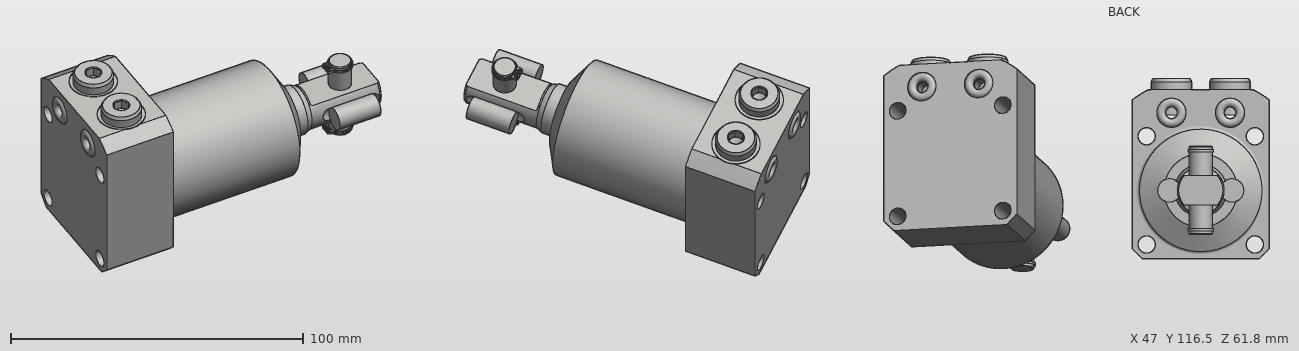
import cadquery as cq
import math


block_width = 47.0
block_depth = 26.0
block_bottom = -block_width / 2
block_top = 34.5
block_turned_radius = 38.9
block_chamfer = 3.5
bolt_spacing = 37.0
bolt_radius = 2.9

barrel_radius = 21.0
barrel_root_fillet = 1.0
barrel_shoulder_y = 76.7
barrel_nose_y = 81.5
barrel_nose_radius = 12.6

stem_radius = 9.0
stem_chamfer_start_y = 86.3
stem_chamfer_end_y = 88.4
rod_radius = 8.0
rod_tip_y = 115.7
rod_tip_chamfer_length = 0.8
rod_tip_chamfer_width = 0.5
flat_start_y = 89.0
flat_thickness = 10.1
flat_fillet = 0.7

pin_y = 103.7
pin_diameter = 8.0
pin_length = 30.3
pin_chamfer = 0.3

ring_thickness = 0.8
ring_center_z = 13.5
ring_radius = 4.4
ring_lug_reach = 5.8
ring_lug_half_width = 2.5
ring_lug_rounding = 0.9
ring_gap = 0.6
ring_eye_radius = 0.6
ring_eye_x = 1.3
ring_eye_reach = 4.9

roller_diameter = pin_diameter
roller_length = 16.0
roller_x = 10.7

port_x = 10.0
port_z = 26.6
port_radius = 2.0
oring_radius = 5.0
oring_protrusion = 0.8

plug_y = block_depth / 2
plug_radius = 7.0
plug_head_height = 3.8
plug_chamfer_height = 1.2
plug_chamfer_width = 0.6
plug_shank_radius = 5.0
plug_bottom = 25.7
spotface_radius = 8.3
spotface_depth = 0.3
socket_across_flats = 4.9
socket_entry_radius = 2.9
socket_entry_depth = 0.3
socket_depth = 3.5
socket_cone_depth = 1.5

overlap = 1.2
pin_radius = pin_diameter / 2
roller_radius = roller_diameter / 2
roller_start_y = pin_y - roller_length / 2
roller_end_y = pin_y + roller_length / 2
roller_xs = (-roller_x, roller_x)
port_xs = (-port_x, port_x)
bolt_offsets = (-bolt_spacing / 2, bolt_spacing / 2)
bolt_places = [(x, z) for x in bolt_offsets for z in bolt_offsets]
spotface_floor = block_top - spotface_depth
plug_top = block_top + plug_head_height
oring_wire_radius = (oring_radius - port_radius) / 2
oring_mean_radius = (oring_radius + port_radius) / 2
oring_inset = oring_wire_radius - oring_protrusion
oring_seat_depth = oring_wire_radius + oring_inset
oring_ys = (oring_inset, block_depth - oring_inset)


def cylinder_y(radius, start, end, x=0.0, z=0.0):
    """Cylinder along Y between two Y positions."""
    return cq.Workplane("XZ", origin=(x, start, z)).circle(radius).extrude(start - end)


def cylinder_z(radius, start, end, x=0.0, y=0.0):
    """Cylinder along Z between two heights."""
    return cq.Workplane("XY", origin=(x, y, start)).circle(radius).extrude(end - start)


def make_block():
    block = (
        cq.Workplane("XY", origin=(0, 0, block_bottom))
        .box(block_width, block_depth, block_top - block_bottom, centered=(True, False, False))
        .edges("|Y and <Z")
        .chamfer(block_chamfer)
        .intersect(cylinder_y(block_turned_radius, 0, block_depth))
    )
    for x, z in bolt_places:
        block = block.cut(cylinder_y(bolt_radius, 0, block_depth, x, z))
    return block


def make_barrel():
    fillet_inset = barrel_root_fillet * (1 - math.sqrt(0.5))
    return (
        cq.Workplane("XY")
        .moveTo(0, block_depth)
        .lineTo(barrel_radius + barrel_root_fillet, block_depth)
        .threePointArc(
            (barrel_radius + fillet_inset, block_depth + fillet_inset),
            (barrel_radius, block_depth + barrel_root_fillet),
        )
        .lineTo(barrel_radius, barrel_shoulder_y)
        .lineTo(barrel_nose_radius, barrel_nose_y)
        .lineTo(0, barrel_nose_y)
        .close()
        .revolve(360, (0, 0, 0), (0, 1, 0))
    )


def cut_ports(body):
    """Through ports with an O-ring seat on both faces, and a spotfaced bore for each plug."""
    seat_ranges = (
        (-overlap, oring_seat_depth),
        (block_depth - oring_seat_depth, block_depth + overlap),
    )
    for x in port_xs:
        body = body.cut(cylinder_y(port_radius, 0, block_depth, x, port_z))
        for start, end in seat_ranges:
            body = body.cut(cylinder_y(oring_radius, start, end, x, port_z))
        body = body.cut(cylinder_z(spotface_radius, spotface_floor, block_top, x, plug_y))
        body = body.cut(cylinder_z(plug_shank_radius, plug_bottom, block_top, x, plug_y))
    return body


def make_socket():
    """Hexagon socket with a conical entry and a conical bottom, at the plug top."""
    floor = plug_top - socket_depth
    corner_diameter = socket_across_flats / math.cos(math.pi / 6)
    hexagon = (
        cq.Workplane("XY", origin=(0, 0, floor))
        .transformed(rotate=(0, 0, 90))
        .polygon(6, corner_diameter)
        .extrude(socket_depth)
    )
    down = cq.Vector(0, 0, -1)
    entry = cq.Solid.makeCone(
        socket_entry_radius, socket_entry_radius - socket_entry_depth, socket_entry_depth,
        cq.Vector(0, 0, plug_top), down,
    )
    bottom = cq.Solid.makeCone(
        socket_across_flats / 2, 0, socket_cone_depth, cq.Vector(0, 0, floor), down,
    )
    return hexagon.union(entry).union(bottom)


def make_plug(x):
    plug = (
        cq.Workplane("XZ")
        .moveTo(0, plug_bottom)
        .lineTo(plug_shank_radius, plug_bottom)
        .lineTo(plug_shank_radius, spotface_floor)
        .lineTo(plug_radius, spotface_floor)
        .lineTo(plug_radius, plug_top - plug_chamfer_height)
        .lineTo(plug_radius - plug_chamfer_width, plug_top)
        .lineTo(0, plug_top)
        .close()
        .revolve(360, (0, 0, 0), (0, 1, 0))
        .cut(make_socket())
    )
    return plug.translate((x, plug_y, 0))


def make_flat_cut():
    """Material removed above the upper flat, with a fillet at its inner end."""
    return (
        cq.Workplane("XY", origin=(0, flat_start_y, flat_thickness / 2))
        .box(2 * rod_radius, rod_tip_y - flat_start_y, rod_radius, centered=(True, False, False))
        .edges("<Y and <Z")
        .fillet(flat_fillet)
    )


def make_roller(x):
    return cylinder_y(roller_radius, roller_start_y, roller_end_y, x)


def make_roller_seat(x):
    """Round-ended groove as long as the roller plus a ball at each end."""
    seat = make_roller(x)
    for y in (roller_start_y, roller_end_y):
        seat = seat.union(cq.Workplane("XY", origin=(x, y, 0)).sphere(roller_radius))
    return seat


def make_rod():
    rod = (
        cq.Workplane("XY")
        .moveTo(0, barrel_nose_y)
        .lineTo(stem_radius, barrel_nose_y)
        .lineTo(stem_radius, stem_chamfer_start_y)
        .lineTo(rod_radius, stem_chamfer_end_y)
        .lineTo(rod_radius, rod_tip_y - rod_tip_chamfer_length)
        .lineTo(rod_radius - rod_tip_chamfer_width, rod_tip_y)
        .lineTo(0, rod_tip_y)
        .close()
        .revolve(360, (0, 0, 0), (0, 1, 0))
    )
    upper_cut = make_flat_cut()
    rod = rod.cut(upper_cut).cut(upper_cut.mirror("XY"))
    for x in roller_xs:
        rod = rod.cut(make_roller_seat(x))
    return rod


def make_retaining_ring(z):
    """Retaining ring whose two eyed lugs point towards the barrel."""
    bottom = z - ring_thickness / 2
    top = z + ring_thickness / 2
    lugs = (
        cq.Workplane("XY", origin=(0, pin_y - ring_lug_reach / 2, bottom))
        .rect(2 * ring_lug_half_width, ring_lug_reach)
        .extrude(ring_thickness)
        .edges("|Z and <Y")
        .fillet(ring_lug_rounding)
    )
    gap = (
        cq.Workplane("XY", origin=(0, pin_y - ring_lug_reach / 2, bottom))
        .rect(ring_gap, ring_lug_reach)
        .extrude(ring_thickness)
    )
    ring = cylinder_z(ring_radius, bottom, top, 0, pin_y).union(lugs).cut(gap)
    for x in (-ring_eye_x, ring_eye_x):
        ring = ring.cut(cylinder_z(ring_eye_radius, bottom, top, x, pin_y - ring_eye_reach))
    return ring


def make_pin():
    pin = (
        cylinder_z(pin_radius, -pin_length / 2, pin_length / 2, 0, pin_y)
        .faces("<Z or >Z")
        .edges()
        .chamfer(pin_chamfer)
    )
    for z in (-ring_center_z, ring_center_z):
        pin = pin.union(make_retaining_ring(z))
    return pin


def make_cylinder_unit():
    """Block, barrel, plugs, rod and cross pin as one solid."""
    unit = cut_ports(make_block().union(make_barrel()))
    for x in port_xs:
        unit = unit.union(make_plug(x))
    return unit.union(make_rod()).union(make_pin())


def make_oring(x, y):
    return cq.Workplane(
        cq.Solid.makeTorus(oring_mean_radius, oring_wire_radius, cq.Vector(x, y, port_z), cq.Vector(0, 1, 0))
    )


cylinder_unit = make_cylinder_unit()
rollers = [make_roller(x) for x in roller_xs]
orings = [make_oring(x, y) for x in port_xs for y in oring_ys]

result = cq.Compound.makeCompound([body.val() for body in [cylinder_unit, *rollers, *orings]])